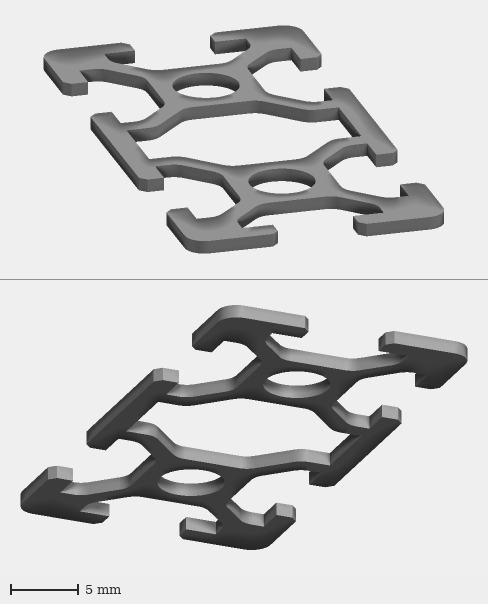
import cadquery as cq
import math

cell = 20.0
thickness = 1.0
corner_radius = 1.5

slot_opening = 6.2
slot_width = 10.95
lip_thickness = 1.8
lip_chamfer = 0.5

web = 1.5
core_width = 7.8
bore_diameter = 5.0
web_fillet = 1.5

cell_half = cell / 2
core_half = core_width / 2
slot_half = slot_width / 2
lip_inner = cell_half - lip_thickness
web_offset = web / math.sqrt(2)


def prism(points):
    """Closed polygon extruded through the plate thickness."""
    return cq.Workplane("XY").polyline(points).close().extrude(thickness)


def round_corners(body, corners, radius):
    """Fillet the vertical edges standing on the given XY points."""
    for x, y in corners:
        edge = cq.selectors.NearestToPointSelector((x, y, thickness / 2))
        body = body.edges(edge).fillet(radius)
    return body


def mirrored(points):
    """Right-hand points followed by their mirror images across the Y axis."""
    return points + [(-x, y) for x, y in reversed(points)]


def both_halves(upper_right):
    """Upper right-hand points repeated symmetrically in all four quadrants."""
    upper = mirrored(upper_right)
    lower = [(-x, -y) for x, y in upper]
    return upper + lower


def make_slot():
    """T-slot cutter opening toward +Y, about the centre of a cell."""
    mouth_half = slot_opening / 2
    floor_corner = (core_half - web_offset, core_half)
    wall_corner = (slot_half, slot_half + web_offset)
    right_side = [
        floor_corner,
        wall_corner,
        (slot_half, lip_inner),
        (mouth_half, lip_inner),
        (mouth_half, cell_half - lip_chamfer),
        (mouth_half + lip_chamfer, cell_half),
    ]
    slot = prism(mirrored(right_side))
    return round_corners(slot, mirrored([floor_corner, wall_corner]), web_fillet)


def make_chamber():
    """Cutter for the closed chamber between the two cores."""
    wall_x = cell_half - slot_half - web
    core_x = cell_half - core_half
    core_corner = (core_x, core_half - web_offset)
    wall_corner = (wall_x, cell_half - wall_x - web_offset)
    upper_right = [core_corner, wall_corner, (wall_x, lip_inner)]
    chamber = prism(both_halves(upper_right))
    return round_corners(chamber, both_halves([core_corner, wall_corner]), web_fillet)


plate = cq.Workplane("XY").box(2 * cell, cell, thickness, centered=(True, True, False))
plate = plate.edges("|Z").fillet(corner_radius)

slot = make_slot()
for cell_x, outer_angle in ((-cell_half, 90), (cell_half, -90)):
    for angle in (0, 180, outer_angle):
        cutter = slot.rotate((0, 0, 0), (0, 0, 1), angle)
        plate = plate.cut(cutter.translate((cell_x, 0, 0)))
    bore = cq.Workplane("XY").center(cell_x, 0).circle(bore_diameter / 2).extrude(thickness)
    plate = plate.cut(bore)

result = plate.cut(make_chamber())